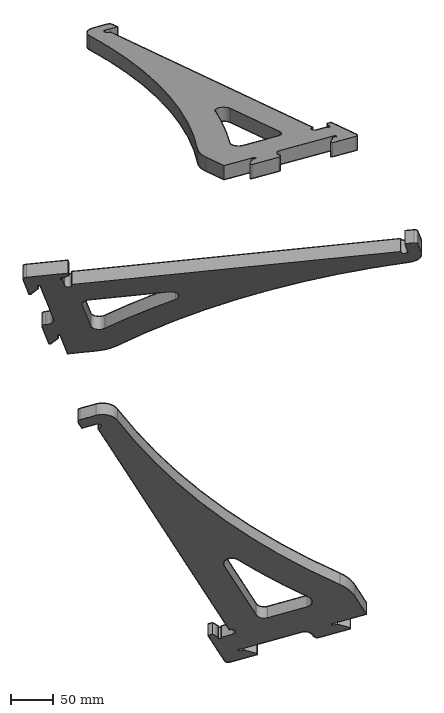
import cadquery as cq
import math

LENGTH = 475.0
HEIGHT = 188.0
THICKNESS = 18.0

HOOK_REACH = 17.0
HOOK_PITCH = 120.0
HOOK_SLOT_WIDTH = 3.0
HOOK_SLOT_TOP = 165.2
HOOK_SLOT_SIDE = 6.2
LOWER_HOOK_TOP = 73.5
WALL_X = LENGTH - HOOK_REACH

SHELF_Y = 160.7
LIP_WIDTH = 15.0
LIP_TOP = 178.0
SHELF_LENGTH = 414.3
NECK_X = LIP_WIDTH + SHELF_LENGTH
GROOVE_WIDTH = 8.5
GROOVE_SIDE = 1.0

HEAD_OVERHANG = 9.5
HEAD_NOSE_HEIGHT = 6.0
HEAD_BREAK_RUN = 5.0
HEAD_BREAK_Y = 179.3
HEAD_ROOT_Y = 177.7
RELIEF_RADIUS = 1.8
RELIEF_DROP = 1.0

TIP_DEPTH = 26.0
FOOT_LENGTH = 50.0
UNDERSIDE_RADIUS = 800.0

RIM = 40.0

TIP_RADIUS = 20.0
FOOT_RADIUS = 50.0
WINDOW_RADIUS = 10.0
HOOK_TOP_RADIUS = 5.0
HOOK_ROOT_RADIUS = 10.0
HOOK_POINT_RADIUS = 1.5
LIP_RADIUS = 4.0

TIP = (0.0, SHELF_Y - TIP_DEPTH)
FOOT = (WALL_X - FOOT_LENGTH, 0.0)
CHORD = math.dist(TIP, FOOT)
CHORD_OFFSET = math.sqrt(UNDERSIDE_RADIUS**2 - (CHORD / 2) ** 2)
ARC_CENTER = (
    (TIP[0] + FOOT[0]) / 2 + (FOOT[1] - TIP[1]) / CHORD * CHORD_OFFSET,
    (TIP[1] + FOOT[1]) / 2 - (FOOT[0] - TIP[0]) / CHORD * CHORD_OFFSET,
)


def arc_point_at_x(radius, x):
    """Point above the arc centre on a circle concentric with the underside."""
    return (x, ARC_CENTER[1] + math.sqrt(radius**2 - (x - ARC_CENTER[0]) ** 2))


def arc_point_at_y(radius, y):
    """Point right of the arc centre on a circle concentric with the underside."""
    return (ARC_CENTER[0] + math.sqrt(radius**2 - (y - ARC_CENTER[1]) ** 2), y)


def round_corners(solid, corners, radius):
    """Fillet the upright edges standing at the given outline corners."""
    for x, y in corners:
        edge = cq.selectors.NearestToPointSelector((x, y, THICKNESS / 2))
        solid = solid.edges("|Z").edges(edge).fillet(radius)
    return solid


def hook_point(slot_top):
    """Sharp lower corner of a wall hook, where its 45 degree lead-in ends."""
    return (LENGTH, slot_top - HOOK_SLOT_SIDE - (HOOK_REACH - HOOK_SLOT_WIDTH))


def hook_underside(slot_top):
    """Outline from the wall face around the slot and out to the hook point."""
    slot_x = WALL_X + HOOK_SLOT_WIDTH
    return [
        (WALL_X, slot_top),
        (slot_x, slot_top),
        (slot_x, slot_top - HOOK_SLOT_SIDE),
        hook_point(slot_top),
    ]


def make_plate():
    """Solid plate with its outer corners rounded."""
    lower_slot_top = HOOK_SLOT_TOP - HOOK_PITCH
    head_x = NECK_X - HEAD_OVERHANG
    wall_outline = [
        (WALL_X, 0.0),
        *hook_underside(lower_slot_top),
        (LENGTH, LOWER_HOOK_TOP),
        (WALL_X, LOWER_HOOK_TOP),
        *hook_underside(HOOK_SLOT_TOP),
        (LENGTH, HEIGHT),
    ]
    seat_outline = [
        (head_x, HEIGHT),
        (head_x, HEIGHT - HEAD_NOSE_HEIGHT),
        (head_x + HEAD_BREAK_RUN, HEAD_BREAK_Y),
        (NECK_X, HEAD_ROOT_Y),
        (NECK_X, SHELF_Y),
        (LIP_WIDTH, SHELF_Y),
        (LIP_WIDTH, LIP_TOP),
        (0.0, LIP_TOP),
    ]
    underside_middle = arc_point_at_x(UNDERSIDE_RADIUS, FOOT[0] / 2)
    plate = cq.Workplane("XY").moveTo(*TIP).threePointArc(underside_middle, FOOT)
    for point in wall_outline + seat_outline:
        plate = plate.lineTo(*point)
    plate = plate.close().extrude(THICKNESS)

    plate = round_corners(plate, [TIP], TIP_RADIUS)
    plate = round_corners(plate, [FOOT], FOOT_RADIUS)
    plate = round_corners(plate, [(0.0, LIP_TOP)], LIP_RADIUS)
    plate = round_corners(plate, [(WALL_X, LOWER_HOOK_TOP)], HOOK_ROOT_RADIUS)
    plate = round_corners(plate, [(LENGTH, HEIGHT), (LENGTH, LOWER_HOOK_TOP)], HOOK_TOP_RADIUS)
    points = [hook_point(HOOK_SLOT_TOP), hook_point(lower_slot_top)]
    return round_corners(plate, points, HOOK_POINT_RADIUS)


def make_seat_groove(left_x):
    """Cutter for a round-bottomed groove below the shelf line."""
    right_x = left_x + GROOVE_WIDTH
    side_y = SHELF_Y - GROOVE_SIDE
    bottom = (left_x + GROOVE_WIDTH / 2, side_y - GROOVE_WIDTH / 2)
    return (
        cq.Workplane("XY")
        .moveTo(left_x, SHELF_Y)
        .lineTo(left_x, side_y)
        .threePointArc(bottom, (right_x, side_y))
        .lineTo(right_x, SHELF_Y)
        .close()
        .extrude(THICKNESS)
    )


def make_head_relief():
    """Cutter for the round corner relief between the head and the neck."""
    center_y = HEAD_ROOT_Y - RELIEF_DROP
    return cq.Workplane("XY").moveTo(NECK_X, center_y).circle(RELIEF_RADIUS).extrude(THICKNESS)


def make_window():
    """Cutter for the three-sided window with rounded corners."""
    radius = UNDERSIDE_RADIUS + RIM
    top_y = SHELF_Y - RIM
    right_x = WALL_X - RIM
    top_right = (right_x, top_y)
    left = arc_point_at_y(radius, top_y)
    lower_right = arc_point_at_x(radius, right_x)
    lower_middle = arc_point_at_x(radius, (left[0] + right_x) / 2)
    window = (
        cq.Workplane("XY")
        .moveTo(*left)
        .threePointArc(lower_middle, lower_right)
        .lineTo(*top_right)
        .close()
        .extrude(THICKNESS)
    )
    return round_corners(window, [left, lower_right, top_right], WINDOW_RADIUS)


result = (
    make_plate()
    .cut(make_seat_groove(LIP_WIDTH))
    .cut(make_seat_groove(NECK_X - GROOVE_WIDTH))
    .cut(make_head_relief())
    .cut(make_window())
)